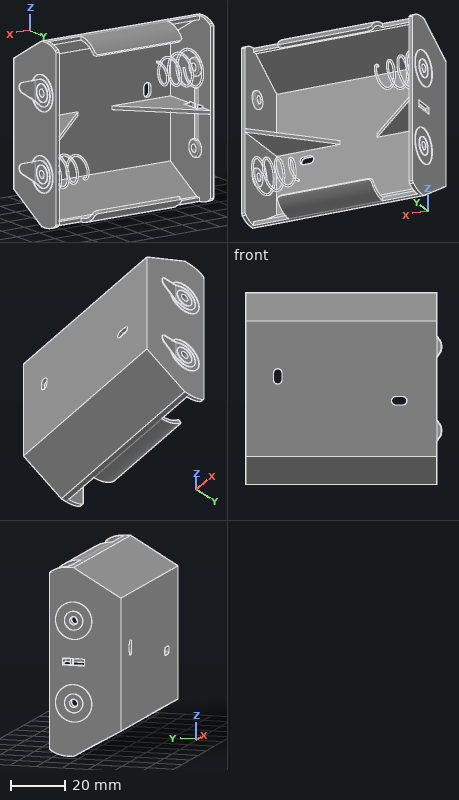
import cadquery as cq
import math


width = 70.4
height = 70.7
mount_face_height = 49.8
wall = 1.5
shoulder_depth = 18.3
rim_depth = 20.6
end_wall_depth = 27.6
end_wall_corner = 0.65
end_wall_edge_height = 65.6
half_width = width / 2
half_height = height / 2
inner_face = half_width - wall

arm_width = 38.7
arm_radius = 12.1
arm_corner_radius = 1.3
overall_depth = 30.5
arc_center_z = half_height - arm_radius

cell_depth = shoulder_depth
cell_offset = 15.45
cell_centers = [-cell_offset, cell_offset]
seat_radius = 7.0
seat_depth = 0.3
boss_radius = 3.55
boss_height = 1.1
boss_edge_radius = 0.5
rivet_hole_radius = 1.5

gusset_thickness = 1.45
passage_length = 8.4
passage_height = 2.5
passage_reach = 4.05

slot_length = 5.55
slot_width = 3.0
slot_offset_z = 4.5
upright_slot_x = -23.4
level_slot_x = 21.3

wire_radius = 0.35
coil_radius = 7.15
coil_taper = 0.9
coil_standoff = 2.0
coil_pitch = 3.7
pitch_growth = 0.325
first_turn = -0.46
last_turn = 3.25

bridge_size = 0.9
bridge_standoff = 0.95
bridge_offset = 1.4

lug_radius = 5.2
lug_tip_radius = 2.0
lug_reach = 12.5
lug_bend = 4.3
lug_overhang = 72.2 - width


def arc_point(radius, y):
    """Point of the upper arm's arc of the given radius at depth y."""
    return y, arc_center_z + math.sqrt(radius**2 - (y - rim_depth) ** 2)


def along_x(start, end):
    """Extrude-ready workplane at X = start, with the length to X = end."""
    return cq.Workplane("YZ", origin=(start, 0, 0)), end - start


def trough_outline(plane, open_depth):
    """Cross-section of the sloping and straight walls, up to the given depth."""
    return plane.polyline([
        (0, -mount_face_height / 2),
        (0, mount_face_height / 2),
        (shoulder_depth, half_height),
        (open_depth, half_height),
        (open_depth, -half_height),
        (shoulder_depth, -half_height),
    ]).close()


def make_trough():
    outer_plane, outer_length = along_x(-half_width, half_width)
    inner_plane, inner_length = along_x(-inner_face, inner_face)
    outer = trough_outline(outer_plane, rim_depth).extrude(outer_length)
    cavity = trough_outline(inner_plane, overall_depth).offset2D(-wall).extrude(inner_length)
    return outer.cut(cavity)


def make_end_wall(start):
    """End wall with rounded shoulders, between the rim and its own open edge."""
    bevel_y = end_wall_depth - end_wall_corner
    _, bevel_z = arc_point(arm_radius, bevel_y)
    mid_y, mid_z = arc_point(arm_radius, (rim_depth + bevel_y) / 2)
    edge_z = end_wall_edge_height / 2
    plane, length = along_x(start, start + wall)
    return (
        plane.moveTo(rim_depth, -half_height)
        .lineTo(rim_depth, half_height)
        .threePointArc((mid_y, mid_z), (bevel_y, bevel_z))
        .lineTo(end_wall_depth, edge_z)
        .lineTo(end_wall_depth, -edge_z)
        .lineTo(bevel_y, -bevel_z)
        .threePointArc((mid_y, -mid_z), (rim_depth, -half_height))
        .close()
        .extrude(length)
    )


def make_upper_arm():
    """Curved arm over the upper cell, with rounded corners at its tip."""
    tip_angle = math.acos((overall_depth - rim_depth) / arm_radius)
    mid_angle = (tip_angle + math.pi / 2) / 2
    inner_radius = arm_radius - wall

    def polar(radius, angle):
        return rim_depth + radius * math.cos(angle), arc_center_z + radius * math.sin(angle)

    plane, length = along_x(-arm_width / 2, arm_width / 2)
    arm = (
        plane.moveTo(rim_depth, half_height)
        .threePointArc(polar(arm_radius, mid_angle), polar(arm_radius, tip_angle))
        .lineTo(*polar(inner_radius, tip_angle))
        .threePointArc(polar(inner_radius, mid_angle), (rim_depth, half_height - wall))
        .close()
        .extrude(length)
    )
    tip_y, tip_z = polar(arm_radius - wall / 2, tip_angle)
    corners = [cq.Vector(side * arm_width / 2, tip_y, tip_z) for side in (-1, 1)]
    tip_edges = [
        edge for edge in arm.edges().vals()
        if any((edge.Center() - corner).Length < wall / 4 for corner in corners)
    ]
    return arm.newObject(tip_edges).fillet(arm_corner_radius)


def make_gusset(side):
    """Right-angled 45 degree web between the floor and the end wall on the given side."""
    leg = end_wall_depth - wall
    return (
        cq.Workplane("XY", origin=(0, 0, -gusset_thickness / 2))
        .polyline([
            (side * inner_face, wall),
            (side * inner_face, end_wall_depth),
            (side * (inner_face - leg), wall),
        ])
        .close()
        .extrude(gusset_thickness)
    )


def seat_disc(radius, start, end, cell_z):
    """Cylinder on a cell axis, between two X positions."""
    plane, length = along_x(start, end)
    return plane.center(cell_depth, cell_z).circle(radius).extrude(length)


def add_cell_seat(body, side, cell_z):
    """Boss with a rounded edge inside, ring-shaped recess outside, and rivet hole through both."""
    inner = side * inner_face
    outer = side * half_width
    boss_end = inner - side * boss_height
    edge = "<X" if side > 0 else ">X"
    boss = seat_disc(boss_radius, inner, boss_end, cell_z).faces(edge).edges().fillet(boss_edge_radius)
    recess_floor = outer - side * seat_depth
    recess = seat_disc(seat_radius, recess_floor, outer, cell_z).cut(
        seat_disc(boss_radius, recess_floor, outer, cell_z)
    )
    hole = seat_disc(rivet_hole_radius, boss_end, outer, cell_z)
    return body.union(boss).cut(recess).cut(hole)


def mounting_slot(x, z, angle):
    """Round-ended slot through the floor."""
    return cq.Workplane("XZ", origin=(x, 0, z)).slot2D(slot_length, slot_width, angle).extrude(-wall)


def make_housing():
    arm = make_upper_arm()
    body = make_trough().union(make_end_wall(-half_width)).union(make_end_wall(inner_face))
    body = body.union(arm).union(arm.mirror("XY"))
    for side in (-1, 1):
        body = body.union(make_gusset(side))
        for cell_z in cell_centers:
            body = add_cell_seat(body, side, cell_z)
    plane, length = along_x(-half_width, -half_width + passage_reach)
    passage = plane.center(cell_depth, 0).rect(passage_length, passage_height).extrude(length)
    upright_slot = mounting_slot(upright_slot_x, slot_offset_z, 90)
    level_slot = mounting_slot(level_slot_x, -slot_offset_z, 0)
    return body.cut(passage).cut(upright_slot).cut(level_slot)


def coil_point(turn):
    """Centre line of a spring that stands on X = 0 along +X; whole turns lie toward +Y."""
    radius = coil_radius - coil_taper * turn
    angle = 2 * math.pi * turn
    x = coil_standoff + coil_pitch * turn + pitch_growth * turn**2
    return x, radius * math.cos(angle), radius * math.sin(angle)


def make_spring():
    path = cq.Workplane("XY").parametricCurve(coil_point, N=120, start=first_turn, stop=last_turn)
    start = cq.Vector(*coil_point(first_turn))
    tangent = path.val().tangentAt(0)
    return cq.Workplane(cq.Plane(start, normal=tangent)).circle(wire_radius).sweep(path, isFrenet=True)


def make_upper_spring():
    """Spring of the upper cell, on the -X wall."""
    return make_spring().translate((-inner_face, cell_depth, cell_offset))


def make_lower_spring():
    """Spring of the lower cell, turned round to stand on the +X wall."""
    turned = make_spring().rotate((0, 0, 0), (0, 1, 0), 180)
    return turned.translate((inner_face, cell_depth, -cell_offset))


def make_bridge():
    _, _, coil_bottom = coil_point(-0.25)
    top = cell_offset + coil_bottom - wire_radius
    near_side = bridge_offset - bridge_size / 2
    bottom = -cell_offset + math.sqrt(boss_radius**2 - near_side**2)
    return (
        cq.Workplane("XY", origin=(bridge_standoff - inner_face, cell_depth + bridge_offset, bottom))
        .rect(bridge_size, bridge_size)
        .extrude(top - bottom)
    )


def make_lug(cell_z):
    """Ring seated in the outer recess, with a tapered tail bent outward below the cell axis."""
    tip_center = lug_reach - lug_tip_radius
    taper = math.asin((lug_radius - lug_tip_radius) / tip_center)
    sine = math.sin(taper)
    cosine = math.cos(taper)
    blank = (
        cq.Workplane("YZ")
        .moveTo(-lug_radius * sine, lug_radius * cosine)
        .lineTo(-tip_center - lug_tip_radius * sine, lug_tip_radius * cosine)
        .threePointArc((-lug_reach, 0), (-tip_center - lug_tip_radius * sine, -lug_tip_radius * cosine))
        .lineTo(-lug_radius * sine, -lug_radius * cosine)
        .threePointArc((lug_radius, 0), (-lug_radius * sine, lug_radius * cosine))
        .close()
        .extrude(seat_depth)
        .cut(cq.Workplane("YZ").circle(boss_radius).extrude(seat_depth))
    )
    beyond_bend = cq.Workplane("XY").box(lug_reach, lug_reach, lug_reach).translate(
        (0, -lug_bend - lug_reach / 2, 0)
    )
    bend_angle = math.degrees(math.asin(lug_overhang / (lug_reach - lug_bend)))
    tail = blank.intersect(beyond_bend).rotate((0, -lug_bend, 0), (0, -lug_bend, 1), bend_angle)
    lug = blank.cut(beyond_bend).union(tail)
    return lug.translate((half_width - seat_depth, cell_depth, cell_z))


housing = make_housing()
springs = [make_upper_spring().val(), make_lower_spring().val()]
bridge = make_bridge()
lugs = [make_lug(cell_z).val() for cell_z in cell_centers]

result = cq.Compound.makeCompound([housing.val(), *springs, bridge.val(), *lugs])